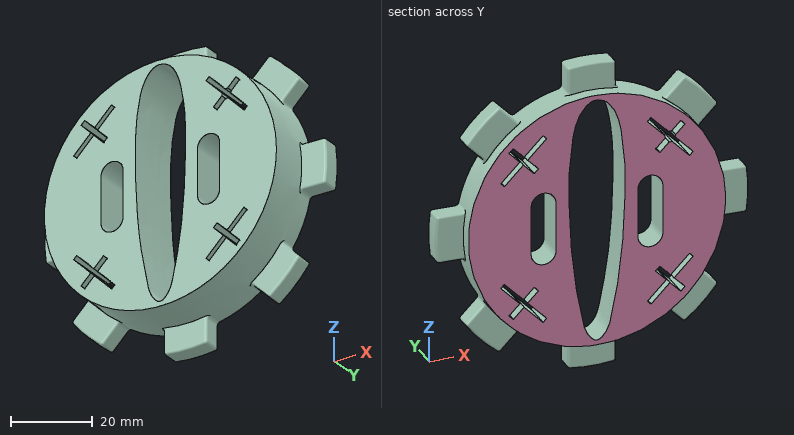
import cadquery as cq

disc_back_diameter = 67.8
disc_front_diameter = 67.4
disc_thickness = 16.0

outer_diameter = 82.05
tooth_count = 8
tooth_width = 12.55
tooth_thickness = 4.8
root_round = 1.1
corner_round = 0.7
front_round = 0.65

slot_spacing = 28.0
slot_length = 19.1
slot_width = 6.4
upright = 90

cross_offset = 19.2
long_arm_length = 15.5
long_arm_width = 1.2
short_arm_length = 9.2
short_arm_width = 1.5
cross_chamfer = 0.6
cross_angle = 45

opening_right_side = [
    (0, 32.3),
    (2.8, 31.2),
    (4.5, 28.9),
    (6.2, 23.4),
    (7.2, 4.6),
    (5.3, -18.05),
    (3.8, -26.25),
    (2.4, -30.35),
    (0, -32.3),
]

disc_back_radius = disc_back_diameter / 2
disc_front_radius = disc_front_diameter / 2
outer_radius = outer_diameter / 2
disc_taper = (disc_back_radius - disc_front_radius) / disc_thickness
hub_radius = disc_back_radius - disc_taper * tooth_thickness
mid_tooth_radius = (disc_back_radius + outer_radius) / 2


def back_plane():
    """Sketch plane on the back face: X right, Z up, extruding towards the front (-Y)."""
    return cq.Workplane("XZ")


def turn(body, angle):
    """Turn a body about the disc axis (Y)."""
    return body.rotate((0, 0, 0), (0, 1, 0), angle)


def is_tooth_corner(edge):
    """True for an edge on the outer half of a tooth, False for one near its root."""
    center = edge.Center()
    return (center.x**2 + center.z**2) ** 0.5 > mid_tooth_radius


def make_disc():
    """Disc lofted from the back circle to the slightly smaller front circle."""
    back_circle = back_plane().circle(disc_back_radius)
    return back_circle.workplane(offset=disc_thickness).circle(disc_front_radius).loft()


def make_toothed_rim():
    """Toothed wheel flush with the back face, rounded at every edge except on the back."""
    wheel = back_plane().circle(hub_radius).extrude(tooth_thickness)
    bar = back_plane().rect(2 * outer_diameter, tooth_width).extrude(tooth_thickness)
    for index in range(tooth_count // 2):
        wheel = wheel.union(turn(bar, index * 360 / tooth_count))
    wheel = wheel.intersect(back_plane().circle(outer_radius).extrude(tooth_thickness))

    wheel = wheel.edges("|Y").filter(is_tooth_corner).fillet(corner_round)
    wheel = wheel.edges("|Y").filter(lambda edge: not is_tooth_corner(edge)).fillet(root_round)
    return wheel.faces("<Y").edges().fillet(front_round)


def make_slots():
    slots = back_plane().pushPoints([(-slot_spacing / 2, 0), (slot_spacing / 2, 0)])
    return slots.slot2D(slot_length, slot_width, angle=upright).extrude(disc_thickness)


def make_opening():
    left_side = [(-x, z) for x, z in reversed(opening_right_side[1:-1])]
    outline = back_plane().spline(opening_right_side + left_side, periodic=True)
    return outline.close().extrude(disc_thickness)


def make_cross(side_x, side_z):
    """Through cross in one corner, its short arm pointing at the disc axis.

    Only the cross in the +X, +Z corner has its four inner corners chamfered.
    """
    long_arm = back_plane().rect(long_arm_length, long_arm_width).extrude(disc_thickness)
    short_arm = back_plane().rect(short_arm_width, short_arm_length).extrude(disc_thickness)
    cross = long_arm.union(short_arm)
    if side_x > 0 and side_z > 0:
        inner_corners = cq.selectors.BoxSelector(
            (-short_arm_width, -disc_thickness, -short_arm_width),
            (short_arm_width, 0, short_arm_width),
        )
        cross = cross.edges("|Y").edges(inner_corners).chamfer(cross_chamfer)
    cross = turn(cross, cross_angle * side_x * side_z)
    return cross.translate((side_x * cross_offset, 0, side_z * cross_offset))


body = make_disc().union(make_toothed_rim())
body = body.cut(make_slots()).cut(make_opening())
for side_x in (-1, 1):
    for side_z in (-1, 1):
        body = body.cut(make_cross(side_x, side_z))

result = body